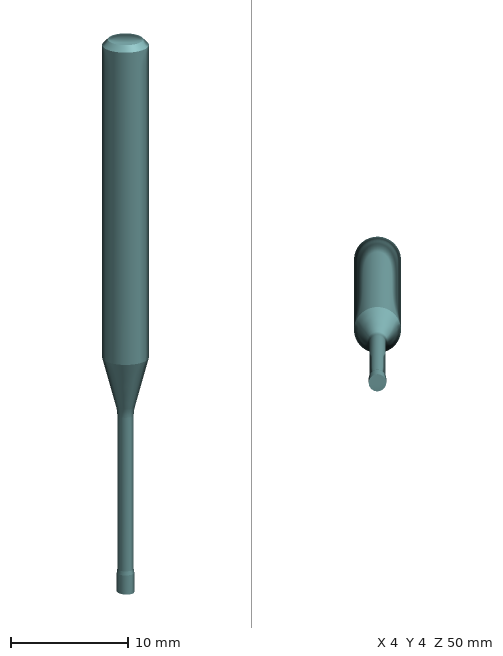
import cadquery as cq
import math

total_length = 50.0
shank_diameter = 4.0
neck_diameter = 1.4
tip_diameter = 1.5

chamfer_width = 0.5
chamfer_height = 0.5

tip_top = 1.75
relief_top = 2.1
neck_top = 16.0

cone_half_angle = math.radians(15)
blend_radius = 3.0

face_tilt = math.radians(3)

shank_radius = shank_diameter / 2
neck_radius = neck_diameter / 2
tip_radius = tip_diameter / 2


def blend_point(angle):
    """Point on the blend arc where the wall leans outward by the given angle."""
    radius = neck_radius + blend_radius * (1 - math.cos(angle))
    height = neck_top + blend_radius * math.sin(angle)
    return radius, height


def make_holder():
    """Shank, cone, blended neck and the short flare that meets the tip."""
    cone_start = blend_point(cone_half_angle)
    cone_length = (shank_radius - cone_start[0]) / math.tan(cone_half_angle)
    return (
        cq.Workplane("XZ")
        .moveTo(0, tip_top)
        .lineTo(tip_radius, tip_top)
        .lineTo(neck_radius, relief_top)
        .lineTo(neck_radius, neck_top)
        .threePointArc(blend_point(cone_half_angle / 2), cone_start)
        .lineTo(shank_radius, cone_start[1] + cone_length)
        .lineTo(shank_radius, total_length - chamfer_height)
        .lineTo(shank_radius - chamfer_width, total_length)
        .lineTo(0, total_length)
        .close()
        .revolve(360, (0, 0), (0, 1))
    )


def make_tip():
    """Cylindrical cutting tip with a slightly tilted end face."""
    face_rise = tip_diameter * math.tan(face_tilt)
    cylinder = cq.Workplane("XY").circle(tip_radius).extrude(tip_top)
    wedge = (
        cq.Workplane("XZ")
        .moveTo(tip_radius, 0)
        .lineTo(-tip_radius, face_rise)
        .lineTo(-tip_radius, 0)
        .close()
        .extrude(tip_radius, both=True)
    )
    return cylinder.cut(wedge)


holder = make_holder()
tip = make_tip()

result = cq.Compound.makeCompound([holder.val(), tip.val()])